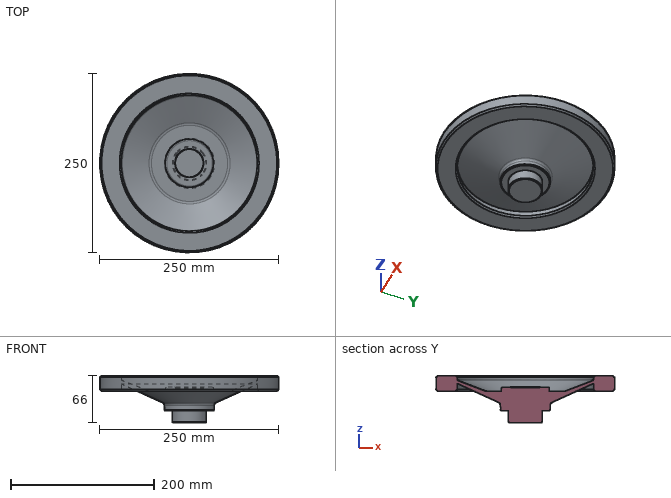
import cadquery as cq
import math

rim_radius = 125.0
rim_bore_radius = 95.0
rim_height = 22.0
rim_chamfer = 2.5

total_height = 66.0
hub_bottom = 16.5
rim_bottom = total_height - rim_height

hub_radius = 35.0
hub_chamfer = 1.5
hub_fillet = 4.0
hub_top = 27.0
shaft_radius = 24.0
shaft_chamfer = 1.2
boss_radius = 33.8
boss_fillet = 2.0
boss_top = 50.0

floor_height = 44.2
floor_radius = 55.0
floor_fillet = 9.5
web_top_angle = 21.0
web_bottom_angle = 24.5
bore_fillet = 1.8

recess_radius = 19.5
recess_chamfer = 0.5
recess_depth = 1.0

cone_top_at_bore = floor_height + (rim_bore_radius - floor_radius) * math.tan(math.radians(web_top_angle))
cone_bottom_at_bore = hub_top + (rim_bore_radius - hub_radius) * math.tan(math.radians(web_bottom_angle))


def disc(radius, bottom, top):
    """Solid cylinder on the Z axis between two heights."""
    return cq.Workplane("XY").workplane(offset=bottom).circle(radius).extrude(top - bottom)


def make_rim():
    """Rectangular ring with all four circular edges chamfered."""
    ring = disc(rim_radius, rim_bottom, total_height)
    ring = ring.cut(disc(rim_bore_radius, rim_bottom, total_height))
    return ring.faces("<Z or >Z").edges().chamfer(rim_chamfer)


def make_web_and_hub():
    """Revolved dished web together with the lower hub."""
    profile = (
        cq.Workplane("XZ")
        .moveTo(0, hub_bottom)
        .lineTo(hub_radius, hub_bottom)
        .lineTo(hub_radius, hub_top)
        .lineTo(rim_bore_radius, cone_bottom_at_bore)
        .lineTo(rim_bore_radius, cone_top_at_bore)
        .lineTo(floor_radius, floor_height)
        .lineTo(0, floor_height)
        .close()
    )
    body = profile.revolve(360, (0, 0, 0), (0, 1, 0))
    body = body.faces("<Z").edges().chamfer(hub_chamfer)
    body = body.edges(cq.selectors.RadiusNthSelector(1)).edges(">Z").fillet(hub_fillet)
    floor_face = cq.selectors.NearestToPointSelector((0, 0, floor_height))
    return body.faces(floor_face).edges().fillet(floor_fillet)


def make_boss():
    """Round boss with a filleted top edge and a shallow chamfered recess."""
    boss = disc(boss_radius, floor_height, boss_top).faces(">Z").edges().fillet(boss_fillet)
    boss = boss.cut(disc(recess_radius, boss_top - recess_depth, boss_top))
    recess_mouth = cq.selectors.RadiusNthSelector(0)
    return boss.faces(">Z").edges(recess_mouth).chamfer(recess_chamfer)


def fillet_bore_corner(body):
    """Round the inner corner where the top of the web meets the rim bore."""
    bore_edges = cq.selectors.BoxSelector(
        (-rim_bore_radius, -rim_bore_radius, cone_top_at_bore - bore_fillet),
        (rim_bore_radius, rim_bore_radius, cone_top_at_bore + bore_fillet),
    )
    return body.edges(bore_edges).fillet(bore_fillet)


shaft = disc(shaft_radius, 0, hub_bottom).faces("<Z").edges().chamfer(shaft_chamfer)
wheel = fillet_bore_corner(make_web_and_hub().union(make_rim()))
result = wheel.union(shaft).union(make_boss())